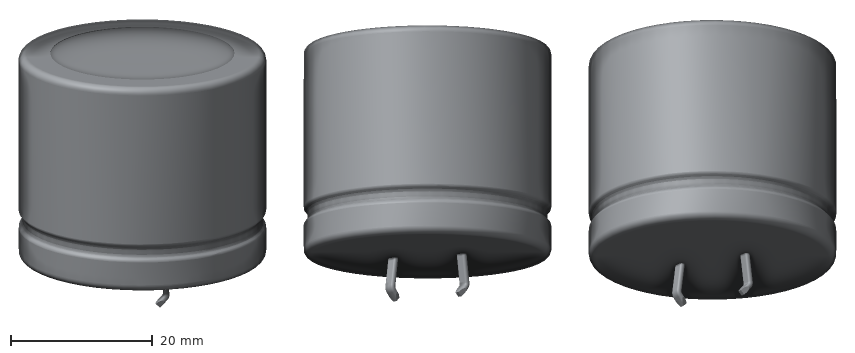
import cadquery as cq
import math

can_diameter = 35.0
can_height = 30.0
edge_radius = 1.0

recess_diameter = 26.0
recess_depth = 0.1

groove_diameter = 33.85
groove_height = 5.7
groove_floor_width = 1.15
groove_mouth_width = 2.28
groove_radius = 0.5
groove_overcut = 0.35

total_height = 36.15
pin_length = total_height - can_height
pin_offset = 5.05
pin_turn = 27.0
pin_width = 1.6
pin_thickness = 0.8
pin_edge_radius = 0.35
pin_embed = 0.72
lean_angle = 8.0
hook_angle = 42.0
bend_start = 4.1
bend_radius = 0.8
tip_width = 0.58
tip_length = 1.1


def make_can():
    """Round can with rounded rims and a recessed top."""
    can = cq.Workplane("XY").circle(can_diameter / 2).extrude(can_height)
    can = can.faces("<Z or >Z").edges().fillet(edge_radius)
    recess = (
        cq.Workplane("XY", origin=(0, 0, can_height - recess_depth))
        .circle(recess_diameter / 2)
        .extrude(recess_depth)
    )
    return can.cut(recess)


def cut_groove(can):
    """Cut the tapered crimp groove and round its floor and mouth edges."""
    floor_radius = groove_diameter / 2
    can_radius = can_diameter / 2
    half_floor = groove_floor_width / 2
    half_mouth = groove_mouth_width / 2
    flare = (half_mouth - half_floor) / (can_radius - floor_radius)
    clear_radius = can_radius + groove_overcut
    half_clear = half_floor + flare * (clear_radius - floor_radius)
    cutter = (
        cq.Workplane("XZ")
        .moveTo(floor_radius, groove_height - half_floor)
        .lineTo(floor_radius, groove_height + half_floor)
        .lineTo(clear_radius, groove_height + half_clear)
        .lineTo(clear_radius, groove_height - half_clear)
        .close()
        .revolve(360, (0, 0, 0), (0, 1, 0))
    )
    grooved = can.cut(cutter)
    groove_edges = cq.selectors.BoxSelector(
        (-can_diameter, -can_diameter, groove_height - groove_mouth_width),
        (can_diameter, can_diameter, groove_height + groove_mouth_width),
        boundingbox=True,
    )
    return grooved.edges(groove_edges).edges("%CIRCLE").fillet(groove_radius)


def make_pin():
    """Flat pin that leans toward -Y, then hooks back toward +Y to a narrow tip."""
    lean = math.radians(lean_angle)
    hook = math.radians(hook_angle)

    root = (pin_embed * math.tan(lean), pin_embed)
    bend_top = (-bend_start * math.tan(lean), -bend_start)
    centre_y = bend_top[0] + bend_radius * math.cos(lean)
    centre_z = bend_top[1] - bend_radius * math.sin(lean)

    def on_bend(angle):
        """Point of the bend where the centre line is tilted by angle from vertical."""
        return (
            centre_y - bend_radius * math.cos(angle),
            centre_z - bend_radius * math.sin(angle),
        )

    bend_bottom = on_bend(hook)
    hook_drop = pin_length + bend_bottom[1] - pin_thickness / 2 * math.sin(hook)
    tip = (bend_bottom[0] + hook_drop * math.tan(hook), bend_bottom[1] - hook_drop)
    path = (
        cq.Workplane("YZ")
        .moveTo(*root)
        .lineTo(*bend_top)
        .threePointArc(on_bend((hook - lean) / 2), bend_bottom)
        .lineTo(*tip)
    )
    section_plane = cq.Plane(
        origin=(0, root[0], root[1]),
        xDir=(1, 0, 0),
        normal=(0, -math.sin(lean), -math.cos(lean)),
    )
    section = cq.Sketch().rect(pin_width, pin_thickness).vertices().fillet(pin_edge_radius)
    strip = cq.Workplane(section_plane).placeSketch(section).sweep(path)

    hook_plane = cq.Plane(
        origin=(0, tip[0], tip[1]),
        xDir=(1, 0, 0),
        normal=(0, math.cos(hook), math.sin(hook)),
    )
    half_width = pin_width / 2
    half_tip = tip_width / 2
    for side in (-1, 1):
        corner = (
            cq.Workplane(hook_plane)
            .moveTo(side * half_tip, 0)
            .lineTo(side * half_width, 0)
            .lineTo(side * half_width, -tip_length)
            .close()
            .extrude(pin_thickness, both=True)
        )
        strip = strip.cut(corner)
    return strip


result = cut_groove(make_can())
left_pin = make_pin().rotate((0, 0, 0), (0, 0, 1), -pin_turn).translate((-pin_offset, 0, 0))
for turn in (0, 180):
    result = result.union(left_pin.rotate((0, 0, 0), (0, 0, 1), turn))